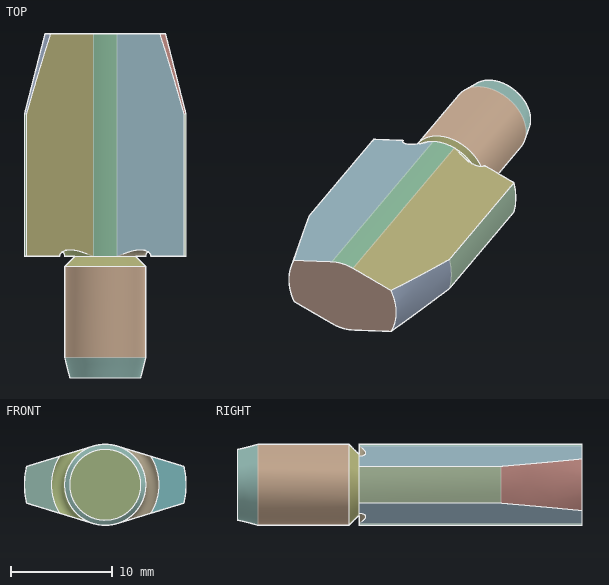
import cadquery as cq
import math

total_length = 34.0
shank_length = 12.0
shank_radius = 4.0
body_length = total_length - shank_length

body_radius = 8.0
body_end_radius = 5.95
body_taper_length = 8.0
flat_angle = math.radians(17)

neck_length = 1.0
neck_radius = shank_radius - neck_length
tip_length = 2.0
tip_radius = 3.5

groove_radius = 0.65


def turned(profile):
    """Revolve an XY profile about the Y axis."""
    return profile.close().revolve(360, (0, 0, 0), (0, 1, 0))


def make_body():
    tangent_x = shank_radius * math.sin(flat_angle)
    tangent_z = shank_radius * math.cos(flat_angle)
    side_z = (shank_radius - body_radius * math.sin(flat_angle)) / math.cos(flat_angle)
    prism = (
        cq.Workplane("XZ")
        .moveTo(-tangent_x, tangent_z)
        .threePointArc((0, shank_radius), (tangent_x, tangent_z))
        .lineTo(body_radius, side_z)
        .lineTo(body_radius, -side_z)
        .lineTo(tangent_x, -tangent_z)
        .threePointArc((0, -shank_radius), (-tangent_x, -tangent_z))
        .lineTo(-body_radius, -side_z)
        .lineTo(-body_radius, side_z)
        .close()
        .extrude(-body_length)
    )
    envelope = turned(
        cq.Workplane("XY")
        .lineTo(body_radius, 0)
        .lineTo(body_radius, body_length - body_taper_length)
        .lineTo(body_end_radius, body_length)
        .lineTo(0, body_length)
    )
    return prism.intersect(envelope)


def make_shank():
    return turned(
        cq.Workplane("XY")
        .lineTo(neck_radius, 0)
        .lineTo(shank_radius, -neck_length)
        .lineTo(shank_radius, tip_length - shank_length)
        .lineTo(tip_radius, -shank_length)
        .lineTo(0, -shank_length)
    )


def make_groove():
    groove_center = shank_radius + groove_radius
    return turned(
        cq.Workplane("XY")
        .moveTo(shank_radius, 0)
        .threePointArc((groove_center, groove_radius), (groove_center + groove_radius, 0))
    )


result = make_body().cut(make_groove()).union(make_shank())